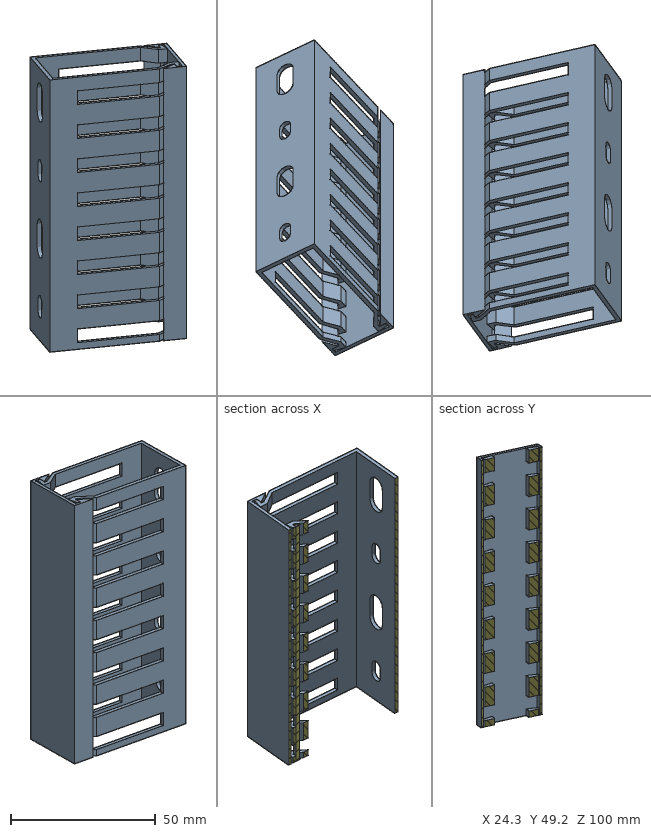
import cadquery as cq

width = 24.3
depth = 49.2
length = 100.0
half_width = width / 2

cover_back_thickness = 1.3
cover_side_thickness = 1.0
cover_side_height = 8.2
lip_shelf_depth = 3.3
lip_reach = 3.4

duct_front_thickness = 1.5
duct_side_thickness = 1.5
bend_depth = 9.8
neck_outer_inset = 3.7
neck_inner_inset = 5.35
neck_outer_depth = 4.25
neck_inner_depth = 4.5
hook_tip_radius = 0.6

wiring_slot_count = 8
wiring_slot_pitch = length / wiring_slot_count
wiring_slot_height = 5.0
wiring_slot_first_z = 5.0
wiring_slot_start = 10.0

mounting_slot_pitch = 50.0
large_slot_length = 14.0
large_slot_width = 6.6
large_slot_first_z = 37.5
small_slot_length = 8.0
small_slot_width = 4.4
small_slot_first_z = 12.5

cover_inner_y = depth - cover_back_thickness
lip_shelf_y = depth - lip_shelf_depth
cover_inner_x = half_width - cover_side_thickness

neck_outer_x = half_width - neck_outer_inset
neck_inner_x = half_width - neck_inner_inset


def extrude_outline(corners):
    """Extrude a closed outline with straight sides along Z."""
    return cq.Workplane("XY").polyline(corners).close().extrude(length)


def mirror_corners(right_half):
    """Add the mirrored left half to the corners of the right half of an outline."""
    left_half = [(-x, y) for x, y in reversed(right_half)]
    return right_half + left_half


def make_cover():
    """Flat back with two short sides, each ending in an inward lip."""
    return extrude_outline(mirror_corners([
        (half_width, depth),
        (half_width, depth - cover_side_height),
        (half_width - lip_reach, lip_shelf_y),
        (cover_inner_x, lip_shelf_y),
        (cover_inner_x, cover_inner_y),
    ]))


def make_hook():
    """Right-hand hook: a round-tipped strip that rests on the lip and rises to the cover back."""
    tip_start_x = cover_inner_x - hook_tip_radius
    return (
        cq.Workplane("XY")
        .moveTo(neck_inner_x, lip_shelf_y)
        .lineTo(tip_start_x, lip_shelf_y)
        .threePointArc(
            (cover_inner_x, lip_shelf_y + hook_tip_radius),
            (tip_start_x, lip_shelf_y + 2 * hook_tip_radius),
        )
        .lineTo(neck_inner_x, cover_inner_y)
        .close()
        .extrude(length)
    )


def make_channel():
    """U-shaped channel whose sides bend inward and end in outward hooks."""
    duct_inner_x = half_width - duct_side_thickness
    channel = extrude_outline(mirror_corners([
        (half_width, 0),
        (half_width, depth - bend_depth),
        (neck_outer_x, depth - neck_outer_depth),
        (neck_outer_x, lip_shelf_y),
        (neck_inner_x, lip_shelf_y),
        (neck_inner_x, depth - neck_inner_depth),
        (duct_inner_x, depth - bend_depth),
        (duct_inner_x, duct_front_thickness),
    ]))
    hook = make_hook()
    return channel.union(hook).union(hook.mirror("YZ"))


def make_wiring_slots():
    """Bars across the full width that cut the sides into open-ended fingers."""
    slot_centres = [
        (0, wiring_slot_first_z + index * wiring_slot_pitch)
        for index in range(wiring_slot_count)
    ]
    return (
        cq.Workplane("XZ", origin=(0, wiring_slot_start, 0))
        .pushPoints(slot_centres)
        .rect(width, wiring_slot_height)
        .extrude(wiring_slot_start - depth)
    )


def make_mounting_slots(slot_length, slot_width, first_z):
    """Pair of rounded slots along Z, through the front wall."""
    slot_centres = [(0, first_z), (0, first_z + mounting_slot_pitch)]
    return (
        cq.Workplane("XZ")
        .pushPoints(slot_centres)
        .slot2D(slot_length, slot_width, 90)
        .extrude(-duct_front_thickness)
    )


def make_duct():
    """Channel with its wiring slots and mounting slots."""
    return (
        make_channel()
        .cut(make_wiring_slots())
        .cut(make_mounting_slots(large_slot_length, large_slot_width, large_slot_first_z))
        .cut(make_mounting_slots(small_slot_length, small_slot_width, small_slot_first_z))
    )


cover = make_cover()
duct = make_duct()

result = cq.Compound.makeCompound([cover.val(), duct.val()])